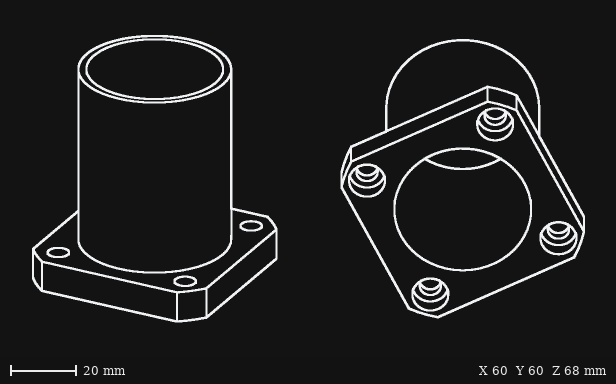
import cadquery as cq

total_height = 68
flange_side = 60.0
flange_thickness = 10.0
corner_circle_diameter = 76.0

tube_outer_diameter = 47.0
tube_bore_diameter = 42.0

hole_diameter = 6.6
hole_spacing = 43.85
counterbore_diameter = 11.0
counterbore_depth = 6.1

corner_disc = cq.Workplane("XY").circle(corner_circle_diameter / 2).extrude(flange_thickness)
flange = cq.Workplane("XY").rect(flange_side, flange_side).extrude(flange_thickness).intersect(corner_disc)

tube = cq.Workplane("XY").circle(tube_outer_diameter / 2).extrude(total_height)

bore = cq.Workplane("XY").circle(tube_bore_diameter / 2).extrude(total_height)


def pins_at_hole_centres(diameter, height):
    """Four upright cylinders, one near each flange corner, standing on the underside plane."""
    return (
        cq.Workplane("XY")
        .rect(hole_spacing, hole_spacing, forConstruction=True)
        .vertices()
        .circle(diameter / 2)
        .extrude(height)
    )


mounting_holes = pins_at_hole_centres(hole_diameter, flange_thickness)
counterbores = pins_at_hole_centres(counterbore_diameter, counterbore_depth)

result = flange.union(tube).cut(bore).cut(mounting_holes).cut(counterbores)